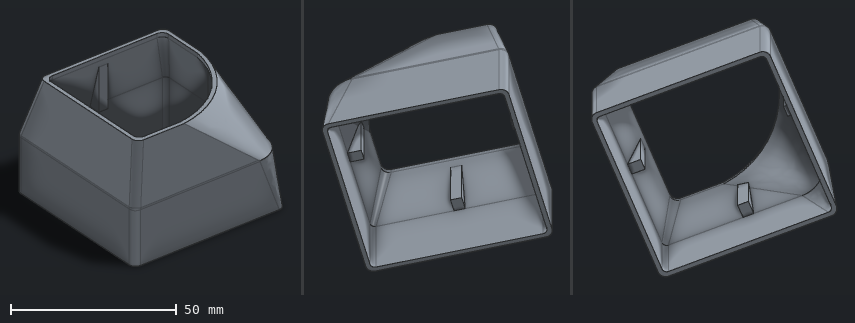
import cadquery as cq
import math

base_half = 29.0
rim_half = 24.0
height = 40.0
bend_height = height / 2

corner_radius = 2.5
bend_big_radius = 10.0
rim_big_reach = 30.0
rim_big_radius = 35.0
bend_radius = 2.5

base_wall = 1.5
rim_wall = 1.5
lip_height = 1.5
inner_corner_radius = 1.5
inner_rim_corner_radius = 2.5

rib_width = 3.5
rib_face_offset = 23.2


def section(z, half, radius, big_reach, big_radius):
    """Square wire at height z whose (+X, +Y) corner is an arc of its own reach and radius."""
    arc_middle = 1 - math.sqrt(0.5)
    near = half - radius
    far = half - big_reach
    small_cut = half - arc_middle * radius
    half_chord = big_reach / math.sqrt(2)
    sagitta = big_radius - math.sqrt(big_radius**2 - half_chord**2)
    big_cut = (half + far + math.sqrt(2) * sagitta) / 2
    return (
        cq.Workplane("XY", origin=(0, 0, z))
        .moveTo(-near, -half)
        .lineTo(near, -half)
        .threePointArc((small_cut, -small_cut), (half, -near))
        .lineTo(half, far)
        .threePointArc((big_cut, big_cut), (far, half))
        .lineTo(-near, half)
        .threePointArc((-small_cut, small_cut), (-half, near))
        .lineTo(-half, -near)
        .threePointArc((-small_cut, -small_cut), (-near, -half))
        .close()
        .val()
    )


def ruled_solid(lower, upper):
    return cq.Workplane(obj=cq.Solid.makeLoft([lower, upper], True))


def outer_body():
    base = section(0, base_half, corner_radius, corner_radius, corner_radius)
    bend = section(bend_height, base_half, corner_radius, bend_big_radius, bend_big_radius)
    rim = section(height, rim_half, corner_radius, rim_big_reach, rim_big_radius)
    body = ruled_solid(base, bend).union(ruled_solid(bend, rim))
    edge_margin = 0.6
    slab = cq.selectors.BoxSelector(
        (-2 * base_half, -2 * base_half, bend_height - edge_margin),
        (2 * base_half, 2 * base_half, bend_height + edge_margin),
    )
    return body.edges("#Z").edges(slab).fillet(bend_radius)


def cavity():
    inner_half = base_half - base_wall
    opening_half = rim_half - rim_wall
    opening_reach = rim_big_reach - rim_wall
    lip_bottom = height - lip_height
    opening_big_radius = rim_big_radius - rim_wall
    base = section(0, inner_half, inner_corner_radius, inner_corner_radius, inner_corner_radius)
    bend = section(bend_height, inner_half, inner_corner_radius, bend_big_radius, bend_big_radius)
    lip = section(lip_bottom, opening_half, inner_rim_corner_radius, opening_reach, opening_big_radius)
    rim = section(height, opening_half, inner_rim_corner_radius, opening_reach, opening_big_radius)
    lower = ruled_solid(base, bend)
    return lower.union(ruled_solid(bend, lip)).union(ruled_solid(lip, rim))


def ribs(body):
    """One rib at the middle of each wall, trimmed to the outside of the body."""
    rib_depth = base_half - rib_face_offset
    rib_height = height - bend_height
    rib = (
        cq.Workplane("XY", origin=(rib_face_offset, 0, bend_height))
        .box(rib_depth, rib_width, rib_height, centered=(False, True, False))
    )
    all_ribs = rib
    for angle in (90, 180, 270):
        all_ribs = all_ribs.union(rib.rotate((0, 0, 0), (0, 0, 1), angle))
    return all_ribs.intersect(body)


body = outer_body()
result = body.cut(cavity()).union(ribs(body))